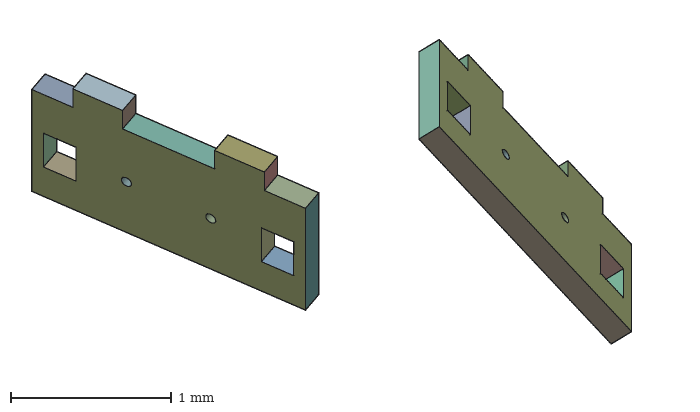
import cadquery as cq

length = 2.0
thickness = 0.16
total_height = 1.07
tab_height = 0.165
shoulder_height = total_height - tab_height

tab_width = 0.365
tab_spacing = 1.035

window_width = 0.235
window_height = 0.3
window_spacing = 1.592
window_bottom = 0.262

hole_diameter = 0.072
hole_spacing = 0.615
hole_center_height = 0.45


def upright_block(width, height, center_x, bottom):
    """Block through the full plate thickness, standing on the given height."""
    block = cq.Workplane("XY").box(width, thickness, height, centered=(True, True, False))
    return block.translate((center_x, 0, bottom))


def through_hole(center_x):
    """Cylinder along Y through the full plate thickness."""
    return (
        cq.Workplane("XZ")
        .center(center_x, hole_center_height)
        .circle(hole_diameter / 2)
        .extrude(thickness / 2, both=True)
    )


result = upright_block(length, shoulder_height, 0, 0)

for side in (-1, 1):
    tab = upright_block(tab_width, tab_height, side * tab_spacing / 2, shoulder_height)
    window = upright_block(window_width, window_height, side * window_spacing / 2, window_bottom)
    hole = through_hole(side * hole_spacing / 2)
    result = result.union(tab).cut(window).cut(hole)